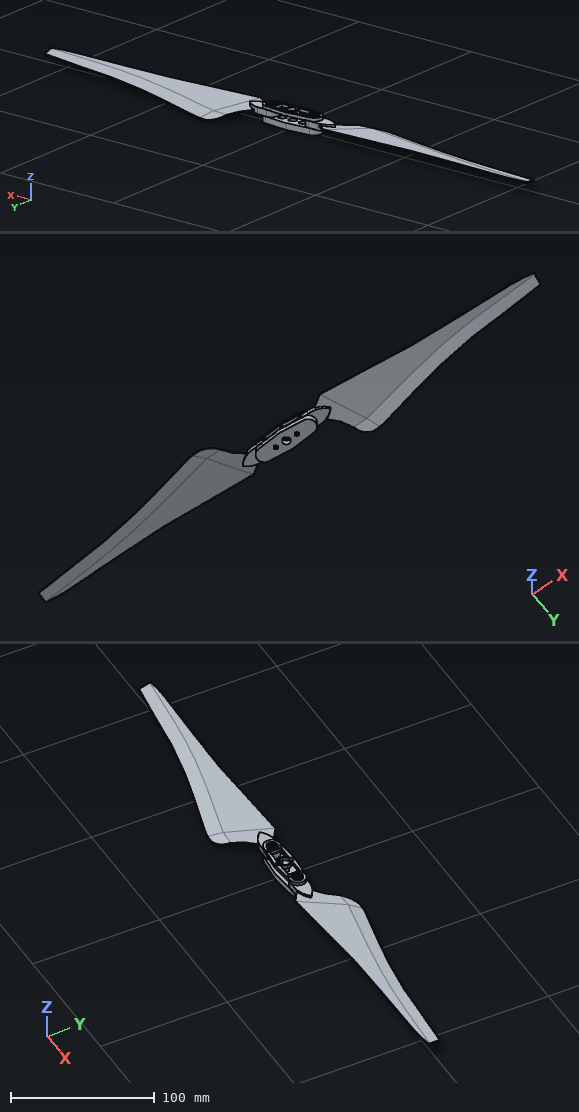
import cadquery as cq
import math


lower_plate_thickness = 5.2
root_thickness = 5.2
upper_plate_thickness = 2.6
overall_height = 14.25
root_bottom = lower_plate_thickness
root_top = root_bottom + root_thickness
hub_top = root_top + upper_plate_thickness

pivot_x = 18.9
plate_end_radius = 6.25
plate_half_width = 8.0
shaft_hole_diameter = 6.05
upper_centre_hole_diameter = 8.0
window_ring_diameter = 10.0
window_outer_x = 13.6
window_half_width = 4.6
motor_hole_x = 9.1
motor_hole_diameter = 3.25
motor_counterbore_diameter = 5.75
motor_counterbore_depth = 3.0
centre_screw_y = 5.3
centre_screw_diameter = 3.1
relief_hole_x = 15.3
relief_hole_y = 4.3
relief_hole_diameter = 2.9

screw_diameter = 3.0
screw_head_diameter = 5.5
screw_bottom = 1.0
socket_diameter = 2.9
socket_depth = 0.7
sleeve_diameter = 6.0
ring_diameter = 8.0
ring_thickness = 1.0

tip_x = 216.1
root_radius = 6.0
root_straight_end_x = 26.7
root_nose_x = 38.4
root_nose_mid = (34.0, 3.6)
sheet_thickness = 1.2
leading_z = root_top - 0.3
inner_panel_length = 24.0
inner_panel_drop = 1.0
fold_angle = 2.2


def copies_about_z(body):
    """The body at +X and its copy half a turn round."""
    return [body.rotate((0, 0, 0), (0, 0, 1), turn) for turn in (0, 180)]


def both_ways(x, y=0):
    """A point and its mirror through the centre."""
    return [(x, y), (-x, -y)]


def plate_outline(bottom, thickness):
    """Round ends joined by straight sides that rise to a blunt point at mid-length."""
    slope = math.atan2(plate_half_width, pivot_x)
    reach = math.hypot(pivot_x, plate_half_width)
    tangent_angle = math.pi - slope - math.acos(plate_end_radius / reach)
    tangent_x = pivot_x + plate_end_radius * math.cos(tangent_angle)
    tangent_y = plate_end_radius * math.sin(tangent_angle)
    end_x = pivot_x + plate_end_radius
    return (
        cq.Workplane("XY", origin=(0, 0, bottom))
        .moveTo(0, plate_half_width)
        .lineTo(tangent_x, tangent_y)
        .threePointArc((end_x, 0), (tangent_x, -tangent_y))
        .lineTo(0, -plate_half_width)
        .lineTo(-tangent_x, -tangent_y)
        .threePointArc((-end_x, 0), (-tangent_x, tangent_y))
        .close()
        .extrude(thickness)
    )


def cylinder(points, diameter, bottom, top):
    return (
        cq.Workplane("XY", origin=(0, 0, bottom))
        .pushPoints(points)
        .circle(diameter / 2)
        .extrude(top - bottom)
    )


centre = [(0, 0)]
pivot = [(pivot_x, 0)]
pivots = both_ways(pivot_x)


def make_lower_plate():
    plate = plate_outline(0, lower_plate_thickness)
    plate = plate.cut(cylinder(centre, shaft_hole_diameter, 0, root_bottom))
    motor_holes = both_ways(motor_hole_x)
    plate = plate.cut(cylinder(motor_holes, motor_hole_diameter, 0, root_bottom))
    seat = root_bottom - motor_counterbore_depth
    plate = plate.cut(cylinder(motor_holes, motor_counterbore_diameter, seat, root_bottom))
    return plate.cut(cylinder(pivots, screw_diameter, screw_bottom, root_bottom))


def make_upper_plate():
    plate = plate_outline(root_top, upper_plate_thickness)
    plate = plate.cut(cylinder(centre, upper_centre_hole_diameter, root_top, hub_top))
    windows = (
        cq.Workplane("XY", origin=(0, 0, root_top))
        .rect(2 * window_outer_x, 2 * window_half_width)
        .extrude(upper_plate_thickness)
    )
    windows = windows.cut(cylinder(centre, window_ring_diameter, root_top, hub_top))
    plate = plate.cut(windows)
    plate = plate.cut(cylinder(both_ways(0, centre_screw_y), centre_screw_diameter, root_top, hub_top))
    reliefs = both_ways(relief_hole_x, relief_hole_y) + both_ways(relief_hole_x, -relief_hole_y)
    plate = plate.cut(cylinder(reliefs, relief_hole_diameter, root_top, hub_top))
    plate = plate.cut(cylinder(pivots, sleeve_diameter, root_top, hub_top))
    return plate.cut(cylinder(pivots, ring_diameter, hub_top - ring_thickness, hub_top))


def make_screw():
    screw = cylinder(pivot, screw_diameter, screw_bottom, hub_top)
    screw = screw.union(cylinder(pivot, screw_head_diameter, hub_top, overall_height))
    socket = (
        cq.Workplane("XY", origin=(pivot_x, 0, overall_height - socket_depth))
        .polygon(6, socket_diameter)
        .extrude(socket_depth)
    )
    return screw.cut(socket)


def make_sleeve():
    sleeve = cylinder(pivot, sleeve_diameter, root_bottom, hub_top)
    return sleeve.cut(cylinder(pivot, screw_diameter, root_bottom, hub_top))


def make_ring():
    ring = cylinder(pivot, ring_diameter, hub_top - ring_thickness, hub_top)
    return ring.cut(cylinder(pivot, sleeve_diameter, hub_top - ring_thickness, hub_top))


def blade_section(foot_x, skew, leading, crease, trailing):
    """Closed wire of a thin bent section through three (y, z) top points.

    The section stands on a vertical plane that crosses Y = 0 at foot_x and runs
    along X by skew per unit of Y.
    """
    top = [(foot_x + skew * y, y, z) for y, z in (leading, crease, trailing)]
    under = [(x, y, z - sheet_thickness) for x, y, z in reversed(top)]
    return cq.Wire.makePolygon([cq.Vector(*p) for p in top + under], close=True)


heel_x = 43.9
heel_skew = 0.49
heel_profile = [(-12.0, leading_z), (20.8, 6.0), (30.43, 2.3)]
tip_leading_y = -2.3
tip_skew = -0.144
tip_foot_x = tip_x - tip_skew * tip_leading_y
stations = [
    (heel_x, heel_skew, *heel_profile),
    (78.0, 0, (-8.8, leading_z), (15.8, 7.3), (26.4, 3.3)),
    (105.0, 0, (-6.4, leading_z), (10.2, 8.5), (20.3, 4.8)),
    (150.0, 0, (-4.9, leading_z), (3.2, 9.6), (12.7, 6.7)),
    (tip_foot_x, tip_skew, (tip_leading_y, leading_z), (-1.4, 10.0), (7.5, 8.6)),
]


def make_root():
    """Round-ended bar with a pointed nose that merges into the blade."""
    return (
        cq.Workplane("XY", origin=(0, 0, root_bottom))
        .moveTo(pivot_x, root_radius)
        .threePointArc((pivot_x - root_radius, 0), (pivot_x, -root_radius))
        .lineTo(root_straight_end_x, -root_radius)
        .threePointArc((root_nose_mid[0], -root_nose_mid[1]), (root_nose_x, 0))
        .threePointArc(root_nose_mid, (root_straight_end_x, root_radius))
        .close()
        .extrude(root_thickness)
    )


heel_root_x = 29.0
heel_root_y = (-6.2, 4.0)
heel_bend = (37.2, 12.2)
heel_arc_start = (42.3, 21.0)
heel_arc_mid = (48.0, 28.1)
heel_arc_end = (58.4, 30.6)
heel_outline_end_x = 80.0


def make_heel_outline():
    """Upright prism that trims the inner panel; it runs past the panel towards the tip."""
    leading_corner_y = heel_profile[0][0]
    leading_corner_x = heel_x + heel_skew * leading_corner_y
    return (
        cq.Workplane("XY")
        .moveTo(heel_root_x, heel_root_y[0])
        .lineTo(leading_corner_x, leading_corner_y)
        .lineTo(heel_outline_end_x, leading_corner_y)
        .lineTo(heel_outline_end_x, heel_arc_end[1])
        .lineTo(*heel_arc_end)
        .threePointArc(heel_arc_mid, heel_arc_start)
        .lineTo(*heel_bend)
        .lineTo(heel_root_x, heel_root_y[1])
        .close()
        .extrude(overall_height)
    )


def make_blade():
    sections = [blade_section(*station) for station in stations]
    sheet = cq.Solid.makeLoft(sections)
    leading, crease, trailing = heel_profile
    dropped = [(y, z - inner_panel_drop) for y, z in (crease, trailing)]
    inner_end = blade_section(heel_x - inner_panel_length, heel_skew, leading, *dropped)
    panel = cq.Solid.makeLoft([inner_end, sections[0]], True)
    panel = cq.Workplane(panel).intersect(make_heel_outline())
    blade = make_root().union(cq.Workplane(sheet)).union(panel)
    return blade.cut(cylinder(pivot, sleeve_diameter, root_bottom, root_top))


lower_plate = make_lower_plate()
upper_plate = make_upper_plate()
blade = make_blade()
folded_blade = copies_about_z(blade)[1].rotate((-pivot_x, 0, 0), (-pivot_x, 0, 1), -fold_angle)
pivot_parts = []
for body in (make_screw(), make_sleeve(), make_ring()):
    pivot_parts += [copy.val() for copy in copies_about_z(body)]

result = cq.Compound.makeCompound([
    lower_plate.val(),
    upper_plate.val(),
    blade.val(),
    folded_blade.val(),
    *pivot_parts,
])